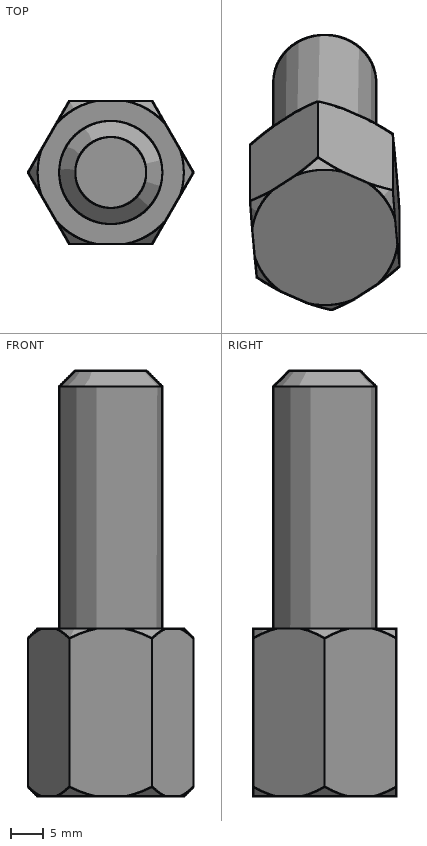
import cadquery as cq

hex_sides = 6
across_corners = 25.66
hex_height = 26.0
corner_chamfer = 1.5

stud_diameter = 16.0
stud_length = 40.0
stud_chamfer = 2.5


def hex_body():
    """Hexagonal prism with its corners turned off conically at both ends."""
    prism = cq.Workplane("XY").polygon(hex_sides, across_corners).extrude(hex_height)
    turned_blank = (
        cq.Workplane("XY")
        .circle(across_corners / 2)
        .extrude(hex_height)
        .faces("<Z or >Z")
        .edges()
        .chamfer(corner_chamfer)
    )
    return prism.intersect(turned_blank)


def stud():
    """Plain cylinder standing on the body, chamfered at the top."""
    return (
        cq.Workplane("XY")
        .workplane(offset=hex_height)
        .circle(stud_diameter / 2)
        .extrude(stud_length)
        .faces(">Z")
        .edges()
        .chamfer(stud_chamfer)
    )


result = hex_body().union(stud())